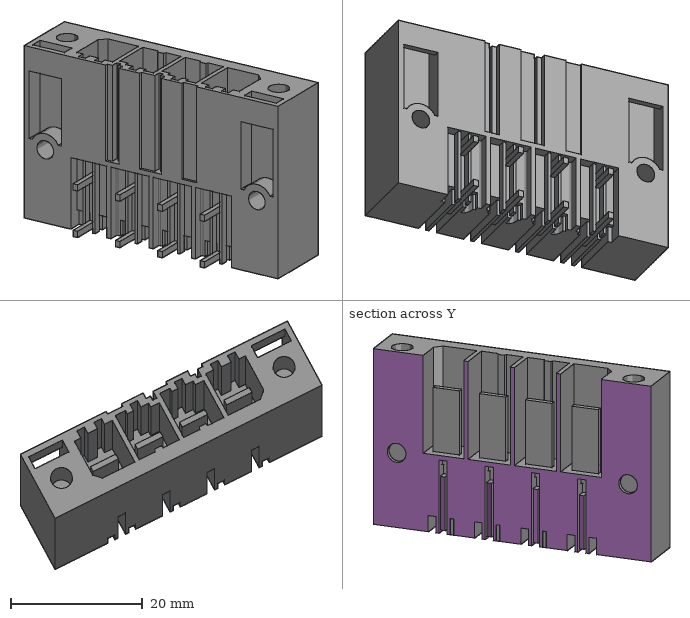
import cadquery as cq
import math


length = 45.7
depth = 11.45
height = 28.3
pole_count = 4
pitch = length / (pole_count + 2)
pole_centres = [(i - (pole_count - 1) / 2) * pitch for i in range(pole_count)]
pole_borders = [(i - (pole_count - 2) / 2) * pitch for i in range(pole_count - 1)]
mount_x = (pole_count + 1) / 2 * pitch

pocket_floor = 12.57
pocket_back = 9.1
pocket_half = 3.45
pocket_end_half = 3.2
end_chamfer = 1.1
key_floor = 0.7
slot_land = 1.85
end_slot_inner = 0.82
end_slot_outer = 2.1
end_outer_land = 1.95
end_inner_land = 1.7
key_half = 0.65
mid_left_land = 2.5
mid_left_step = 1.95
mid_right_land = 1.25
mid_right_step = 1.7
rib_tip_half = 0.55
rib_root_half = 0.7
rib_height = 0.4

groove_depth = 0.45
groove_lead = 0.55
groove_long_lead = 2.05
hook_deep = 1.7
hook_shallow = 0.95
hook_step = 2.75

screw_hole_diameter = 3.3
screw_hole_y = 6.2
screw_hole_depth = 6.85
front_hole_diameter = 2.95
front_hole_z = 12.02
front_hole_depth = 4.55
boss_radius = 2.65
chamber_width = 5.75
chamber_front = 0.95
chamber_back = 3.05
chamber_floor = 13.25
window_top = 24.32

recess_half = 14.45
recess_depth = 1.7
recess_top = 11.75
divider_width = 0.8
divider_fillet = 0.25
guide_inner = 0.65
guide_outer = 1.1
guide_front = 0.4

foot_height = 2.6
foot_half = 2.8
foot_back = 2.4
duct_inner = 1.2
duct_outer = 2.4
duct_land = 1.7

sheet = 0.82
blade_width = 4.35
blade_thickness = 0.85
blade_y = depth / 2
blade_top = 22.85
blade_bottom = 10.65
tab_bottom = 6.7
arm_front = 1.25
arm_top = 9.25
arm_bottom = 0.55
pin_height = 1.05
pin_reach = 3.47


def box(x0, x1, y0, y1, z0, z1):
    """Block between two corners."""
    return cq.Workplane("XY").box(x1 - x0, y1 - y0, z1 - z0, centered=False).translate((x0, y0, z0))


def prism(points, z0, z1):
    """Upright prism on a closed XY outline."""
    return cq.Workplane("XY").workplane(offset=z0).polyline(points).close().extrude(z1 - z0)


def end_pocket():
    """Pocket of the pole at the -X end, about its pole centre."""
    outline = [
        (-pocket_end_half, end_outer_land),
        (-end_slot_outer, end_outer_land),
        (-end_slot_outer, key_floor),
        (-end_slot_inner, key_floor),
        (-end_slot_inner, slot_land),
        (end_slot_inner, slot_land),
        (end_slot_inner, key_floor),
        (end_slot_outer, key_floor),
        (end_slot_outer, end_inner_land),
        (pocket_half, end_inner_land),
        (pocket_half, pocket_back),
        (-pocket_end_half + end_chamfer, pocket_back),
        (-pocket_end_half, pocket_back - end_chamfer),
    ]
    return prism(outline, pocket_floor, height)


def middle_pocket():
    """Pocket of a middle pole, about its pole centre."""
    outline = [
        (-pocket_half, mid_left_land),
        (-mid_left_step, mid_left_land),
        (-mid_left_step, slot_land),
        (-key_half, slot_land),
        (-key_half, key_floor),
        (key_half, key_floor),
        (key_half, slot_land),
        (mid_right_step, slot_land),
        (mid_right_step, mid_right_land),
        (pocket_half, mid_right_land),
        (pocket_half, pocket_back),
        (rib_root_half, pocket_back),
        (rib_tip_half, pocket_back - rib_height),
        (-rib_tip_half, pocket_back - rib_height),
        (-rib_root_half, pocket_back),
        (-pocket_half, pocket_back),
    ]
    return prism(outline, pocket_floor, height)


def hooked_groove(centre, start):
    """Front groove from X = start that hooks behind the wall of a middle pole."""
    outline = [
        (start, 0),
        (start, groove_depth),
        (centre - pocket_half, groove_depth),
        (centre - pocket_half, hook_deep),
        (centre - hook_step, hook_deep),
        (centre - hook_step, hook_shallow),
        (centre - mid_left_step, hook_shallow),
        (centre - mid_left_step, 0),
    ]
    return prism(outline, pocket_floor, height)


def mounting_cut(x):
    """Screw hole, nut chamber with front window, and front hole in its boss."""
    half = chamber_width / 2
    chamber = box(x - half, x + half, chamber_front, chamber_back, chamber_floor, height)
    window = box(x - half, x + half, 0, chamber_back, chamber_floor, window_top)
    front = cq.Workplane("XZ").center(x, front_hole_z)
    boss = front.circle(boss_radius).extrude(-chamber_back)
    front_hole = front.circle(front_hole_diameter / 2).extrude(-front_hole_depth)
    screw_hole = (
        cq.Workplane("XY")
        .workplane(offset=height - screw_hole_depth)
        .center(x, screw_hole_y)
        .circle(screw_hole_diameter / 2)
        .extrude(screw_hole_depth)
    )
    return chamber.union(window).cut(boss).union(front_hole).union(screw_hole)


def lower_recess():
    """Front recess, split by filleted dividers and pairs of guide ribs."""
    recess = box(-recess_half, recess_half, 0, recess_depth, 0, recess_top)
    for x in pole_borders:
        half = divider_width / 2
        recess = recess.cut(box(x - half, x + half, 0, recess_depth, 0, recess_top))
        for side in (-half, half):
            root = cq.selectors.NearestToPointSelector((x + side, recess_depth, recess_top / 2))
            recess = recess.edges("|Z").edges(root).fillet(divider_fillet)
    for x in pole_centres:
        recess = recess.cut(box(x - guide_outer, x + guide_outer, guide_front, recess_depth, 0, recess_top))
    return recess


def blind_duct(x):
    """Duct on the +X side of a pole, closed by a curved wall about the pole centre."""
    end_angle = math.acos(duct_land / duct_outer)
    arc_middle = (
        x + duct_outer * math.cos(end_angle / 2),
        foot_back + duct_outer * math.sin(end_angle / 2),
    )
    duct_end = foot_back + duct_outer * math.sin(end_angle)
    return (
        cq.Workplane("XY")
        .moveTo(x + duct_inner, foot_back)
        .lineTo(x + duct_outer, foot_back)
        .threePointArc(arc_middle, (x + duct_land, duct_end))
        .lineTo(x + duct_inner, duct_end)
        .close()
        .extrude(foot_height)
    )


def foot_cuts(i):
    """Notch behind the guide ribs of pole i, with a duct on each side."""
    x = pole_centres[i]
    first = i == 0
    last = i == pole_count - 1
    left = -recess_half if first else x - foot_half
    right = recess_half if last else x + foot_half
    cuts = box(left, right, recess_depth, foot_back, 0, foot_height)
    cuts = cuts.union(box(x - duct_outer, x - duct_inner, foot_back, depth, 0, foot_height))
    if last:
        return cuts.union(box(x + duct_inner, x + duct_outer, foot_back, depth, 0, foot_height))
    return cuts.union(blind_duct(x))


def make_contact(x):
    """Flat blade with a tab, folded forward into an arm that carries two solder pins."""
    half_blade = blade_width / 2
    half_sheet = sheet / 2
    back = blade_y + blade_thickness / 2
    front = blade_y - blade_thickness / 2
    blade = box(-half_blade, half_blade, front, back, blade_bottom, blade_top)
    tab = box(-half_sheet, half_blade, front, back, tab_bottom, blade_bottom)
    arm = box(-half_sheet, half_sheet, arm_front, back, arm_bottom, arm_top)
    contact = blade.union(tab).union(arm)
    for z in (arm_bottom, arm_top - pin_height):
        contact = contact.union(box(-half_sheet, half_sheet, -pin_reach, arm_front, z, z + pin_height))
    return contact.translate((x, 0, 0))


def make_housing(contacts):
    """Housing block with all its openings and a matching seat for every contact."""
    body = box(-length / 2, length / 2, 0, depth, 0, height)

    first_pocket = end_pocket().translate((pole_centres[0], 0, 0))
    body = body.cut(first_pocket).cut(first_pocket.mirror("YZ"))
    for x in pole_centres[1:-1]:
        body = body.cut(middle_pocket().translate((x, 0, 0)))

    body = body.cut(hooked_groove(pole_centres[1], pole_borders[0] - groove_lead))
    body = body.cut(hooked_groove(pole_centres[2], pole_borders[1] - groove_long_lead))
    last_border = pole_borders[2]
    body = body.cut(
        box(last_border - groove_long_lead, last_border + groove_lead, 0, groove_depth, pocket_floor, height)
    )

    for x in (-mount_x, mount_x):
        body = body.cut(mounting_cut(x))

    body = body.cut(lower_recess())
    for i, x in enumerate(pole_centres):
        body = body.cut(box(x - guide_inner, x + guide_inner, guide_front, depth, 0, recess_top))
        body = body.cut(foot_cuts(i))

    for contact in contacts:
        body = body.cut(contact)
    return body


contacts = [make_contact(x) for x in pole_centres]
housing = make_housing(contacts)
result = cq.Compound.makeCompound([housing.val(), *[contact.val() for contact in contacts]])